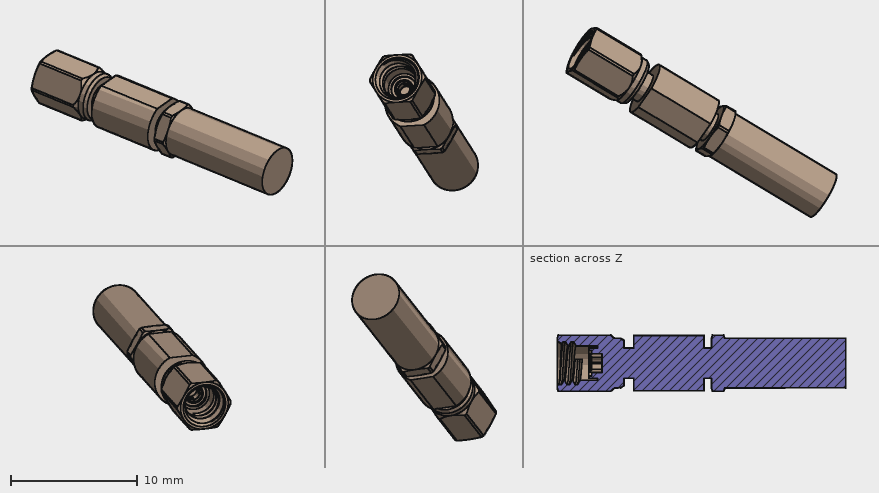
import cadquery as cq
import math

TOTAL_LENGTH = 22.85
ACROSS_FLATS = 3.95
FLAT_RADIUS = ACROSS_FLATS / 2
ACROSS_CORNERS = 4.45
CORNER_RADIUS = ACROSS_CORNERS / 2
SLEEVE_RADIUS = 2.2
NECK_RADIUS = 1.21

NUT_HEX_END = 4.55
COLLAR_CHAMFER_START = 5.03
COLLAR_END = 5.3
SLEEVE_START = 6.05
SLEEVE_END = 11.64
CRIMP_HEX_START = 12.2
CRIMP_HEX_END = 13.28

HEX_CHAMFER = 0.1
NUT_REAR_CHAMFER = 0.3
COLLAR_CHAMFER_DROP = 0.18

BORE_RADIUS = 1.35
BORE_DEPTH = 3.2
MOUTH_RADIUS = 1.75
MOUTH_CONE_DEPTH = 0.78

PITCH = 0.65
THREAD_START = -0.23
THREAD_LENGTH = 1.95
ROOT_RADIUS = 1.7
CREST_WIDTH = PITCH / 8
FLANK_ANGLE = 30
FLANK_SLOPE = math.tan(math.radians(FLANK_ANGLE))
CUT_OVERLAP = 0.02

NECK_TIP = 2.51
INSULATOR_RADIUS = 1.0
INSULATOR_TIP = 2.75
CONTACT_RADIUS = 0.73
CONTACT_TIP = 2.63
CONTACT_MOUTH_RADIUS = 0.62
CONTACT_HOLE_RADIUS = 0.48
CONTACT_HOLE_DEPTH = 0.91
SLOT_WIDTH = 0.11
SLOT_COUNT = 4


def disc(start, end, radius):
    """Round bar along X between two stations."""
    return cq.Workplane("YZ", origin=(start, 0, 0)).circle(radius).extrude(end - start)


def turned(profile):
    """Solid of revolution about X from (x, radius) points, closed along the axis."""
    first_x = profile[0][0]
    last_x = profile[-1][0]
    outline = [(first_x, 0)] + profile + [(last_x, 0)]
    return cq.Workplane("XY").polyline(outline).close().revolve(360, (0, 0, 0), (1, 0, 0))


def hexagon(start, end, front_chamfer, rear_chamfer):
    """Hexagon with flats on +Z and -Z, its corners turned down and coned at both ends."""
    corner_diameter = 2 * ACROSS_FLATS / math.sqrt(3)
    prism = cq.Workplane("YZ", origin=(start, 0, 0)).polygon(6, corner_diameter).extrude(end - start)
    envelope = turned([
        (start, FLAT_RADIUS),
        (start + front_chamfer, CORNER_RADIUS),
        (end - rear_chamfer, CORNER_RADIUS),
        (end, FLAT_RADIUS),
    ])
    return prism.intersect(envelope)


def flatted_sleeve():
    """Round sleeve with one flat on +Z and one on -Z."""
    flats = cq.Workplane("XY").box(2 * TOTAL_LENGTH, 2 * SLEEVE_RADIUS, ACROSS_FLATS)
    return disc(SLEEVE_START, SLEEVE_END, SLEEVE_RADIUS).intersect(flats)


def outer_body():
    """Solid outside of the connector, from the nut to the plain tail."""
    collar = turned([
        (NUT_HEX_END, FLAT_RADIUS),
        (COLLAR_CHAMFER_START, FLAT_RADIUS),
        (COLLAR_END, FLAT_RADIUS - COLLAR_CHAMFER_DROP),
    ])
    body = hexagon(0, NUT_HEX_END, HEX_CHAMFER, NUT_REAR_CHAMFER)
    body = body.union(collar)
    body = body.union(disc(COLLAR_END, CRIMP_HEX_START, NECK_RADIUS))
    body = body.union(flatted_sleeve())
    body = body.union(hexagon(CRIMP_HEX_START, CRIMP_HEX_END, HEX_CHAMFER, HEX_CHAMFER))
    return body.union(disc(CRIMP_HEX_END, TOTAL_LENGTH, FLAT_RADIUS))


def thread_groove():
    """Right-handed helical groove about X, wide at the bore and narrow at the root."""
    inner_radius = BORE_RADIUS - CUT_OVERLAP
    bore_half_width = (PITCH - CREST_WIDTH) / 2
    inner_half_width = bore_half_width + CUT_OVERLAP * FLANK_SLOPE
    root_half_width = bore_half_width - (ROOT_RADIUS - BORE_RADIUS) * FLANK_SLOPE
    section = cq.Workplane("XZ").polyline([
        (inner_radius, -inner_half_width),
        (ROOT_RADIUS, -root_half_width),
        (ROOT_RADIUS, root_half_width),
        (inner_radius, inner_half_width),
    ]).close()
    helix = cq.Wire.makeHelix(PITCH, THREAD_LENGTH, BORE_RADIUS)
    groove = section.sweep(cq.Workplane(obj=helix), isFrenet=True)
    return groove.rotate((0, 0, 0), (0, 1, 0), 90).translate((THREAD_START, 0, 0))


def plug_core():
    """Neck tip on the socket floor, with the insulator and the slotted contact inside it."""
    core = disc(NECK_TIP, BORE_DEPTH, NECK_RADIUS)
    core = core.cut(disc(NECK_TIP, INSULATOR_TIP, INSULATOR_RADIUS))
    return core.union(disc(CONTACT_TIP, BORE_DEPTH, CONTACT_RADIUS))


def contact_hole():
    """Blind hole in the contact with a 45 degree lead-in."""
    lead_in = CONTACT_MOUTH_RADIUS - CONTACT_HOLE_RADIUS
    return turned([
        (CONTACT_TIP, CONTACT_MOUTH_RADIUS),
        (CONTACT_TIP + lead_in, CONTACT_HOLE_RADIUS),
        (CONTACT_TIP + CONTACT_HOLE_DEPTH, CONTACT_HOLE_RADIUS),
    ])


def contact_slot(index):
    """Slot from the axis out through one side of the contact, as deep as its hole."""
    slot = cq.Workplane("XY", origin=(CONTACT_TIP, 0, 0)).box(
        CONTACT_HOLE_DEPTH, SLOT_WIDTH, CONTACT_RADIUS, centered=(False, True, False)
    )
    return slot.rotate((0, 0, 0), (1, 0, 0), index * 360 / SLOT_COUNT)


result = outer_body().cut(disc(0, BORE_DEPTH, BORE_RADIUS))
result = result.cut(thread_groove())
result = result.cut(turned([(0, MOUTH_RADIUS), (MOUTH_CONE_DEPTH, NECK_RADIUS)]))

result = result.union(plug_core()).cut(contact_hole())
for slot_index in range(SLOT_COUNT):
    result = result.cut(contact_slot(slot_index))

result = cq.Workplane(obj=result.val().Solids()[0])